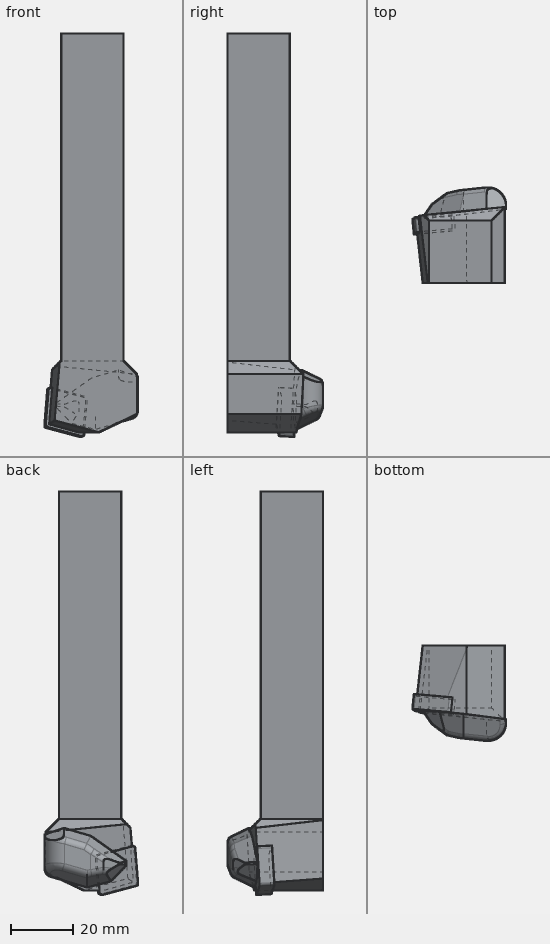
import cadquery as cq
import math

total_height = 129.5
shank_side = 20.0

shoulder_z = 24.5
head_right_x = 24.3
head_bottom_z = 1.4
heel_x = 12.0
heel_right_z = 7.4
corner_x, corner_z = -2.1, 5.3
clearance = math.tan(math.radians(6))
side_slope = math.tan(math.radians(5))
end_slope = math.tan(math.radians(15))
head_depth = 28.5

rake_x = 0.105
rake_z = 0.055
tip = cq.Vector(-5.5, 20.3, 3.1)

insert_edge = 12.8
insert_thickness = 4.8
insert_angle = 100.0
insert_nose_radius = 0.8

clamp_start_y = 20.7
clamp_height = 11.6
clamp_draft = 25.0
clamp_round = 2.6
clamp_rim_y = 28.5
clamp_foot = [(-2.6, 10.4), (9.3, 19.8), (18.4, 23.0), (28.5, 20.0), (28.5, 6.0), (11.0, 1.8), (3.2, 4.1)]
clamp_back = [(-1.7, 21.5), (0.9, 25.2), (5.8, 28.9), (9.8, 29.8), (18.3, 30.7)]
clamp_end_bulge = (22.8, 29.1)
clamp_end = (24.7, 24.3)

big = 103.5


def rake_plane():
    """Plane of the rake face with local X along the lower cutting edge."""
    along = cq.Vector(1, rake_x - end_slope * rake_z, -end_slope)
    return cq.Plane(origin=tip, xDir=along, normal=cq.Vector(-rake_x, 1, -rake_z))


def behind_rake():
    """Everything on the +Y side of the rake face."""
    return cq.Workplane(rake_plane()).rect(big, big).extrude(big)


def flank_outline(depth):
    """Outline in (x, z) bounded by the two flanks, moved out by the clearance."""
    drift = clearance * depth
    left_base = corner_x - side_slope * corner_z - drift
    lower_base = corner_z + end_slope * corner_x - drift
    low_z = (lower_base - end_slope * left_base) / (1 + end_slope * side_slope)
    return [
        (left_base + side_slope * shoulder_z, shoulder_z),
        (left_base + side_slope * low_z, low_z),
        (head_right_x, lower_base - end_slope * head_right_x),
        (head_right_x, shoulder_z),
    ]


def make_head():
    front = cq.Workplane("XZ").polyline(flank_outline(0)).close()
    back = front.workplane(offset=-head_depth).polyline(flank_outline(head_depth)).close()
    flanks = back.loft(ruled=True)

    shoulder_drop = head_right_x - shank_side
    shoulder_fall = shoulder_z - head_bottom_z
    profile = [
        (0, shoulder_z),
        (-shoulder_fall, head_bottom_z),
        (heel_x, head_bottom_z),
        (head_right_x, heel_right_z),
        (head_right_x, shoulder_z - shoulder_drop),
        (shank_side, shoulder_z),
    ]
    body = cq.Workplane("XZ").polyline(profile).close().extrude(-head_depth)

    side = [
        (0, head_bottom_z),
        (0, shoulder_z),
        (shank_side, shoulder_z),
        (shank_side + shoulder_fall, head_bottom_z),
    ]
    envelope = cq.Workplane("YZ", origin=(-big / 2, 0, 0)).polyline(side).close().extrude(big)
    return body.intersect(flanks).intersect(envelope).cut(behind_rake())


def make_clamp():
    """Drafted clamp with a bent, rounded back, trimmed by the rake face."""
    foot = cq.Workplane("XZ", origin=(0, clamp_start_y, 0)).polyline(clamp_foot).close()
    block = foot.extrude(-clamp_height, taper=clamp_draft)
    plan = (
        cq.Workplane("XY")
        .moveTo(clamp_back[0][0], 0)
        .polyline(clamp_back, includeCurrent=True)
        .threePointArc(clamp_end_bulge, clamp_end)
        .lineTo(clamp_end[0], 0)
        .close()
        .extrude(big)
    )
    body = block.intersect(plan)
    rim_zone = cq.selectors.BoxSelector((-big, clamp_rim_y, -big), (big, big, big))
    rim = body.edges(rim_zone).edges("not |Z")
    return rim.fillet(clamp_round).intersect(behind_rake())


def make_insert():
    """Rhombic cutting insert lying flush with the rake face."""
    turn = math.radians(insert_angle)
    side_x = insert_edge * math.cos(turn)
    side_y = -insert_edge * math.sin(turn)
    rhombus = [(0, 0), (insert_edge, 0), (insert_edge + side_x, side_y), (side_x, side_y)]
    blank = cq.Workplane(rake_plane()).polyline(rhombus).close().extrude(-insert_thickness)
    thickness_edges = cq.selectors.ParallelDirSelector(rake_plane().zDir)
    return blank.edges(thickness_edges).fillet(insert_nose_radius)


def make_holder(insert):
    """Shank, head and clamp in one piece, with a pocket for the insert."""
    shank_height = total_height - shoulder_z
    shank = (
        cq.Workplane("XY", origin=(0, 0, shoulder_z))
        .rect(shank_side, shank_side)
        .extrude(shank_height)
        .translate((shank_side / 2, shank_side / 2, 0))
    )
    return shank.union(make_head()).union(make_clamp()).cut(insert)


insert = make_insert()
holder = make_holder(insert)
result = cq.Compound.makeCompound([holder.val(), insert.val()])